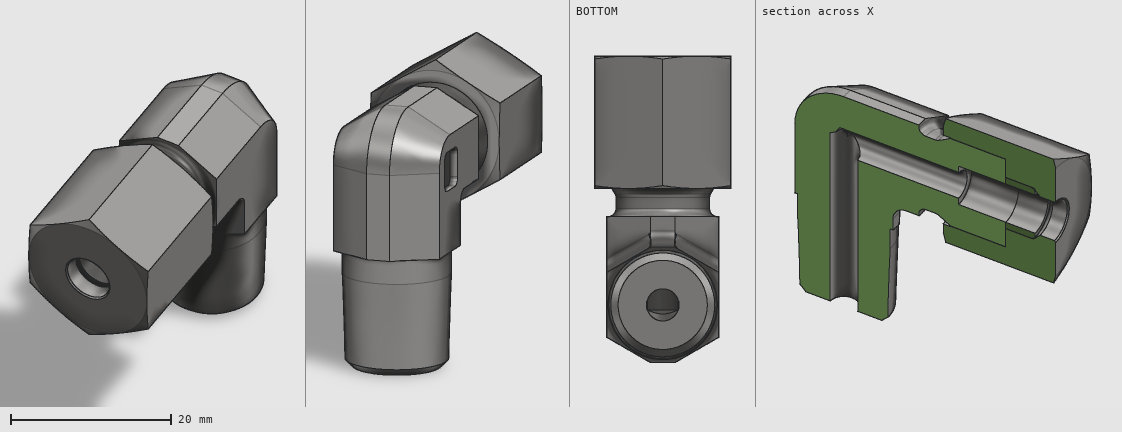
import cadquery as cq
import math

HEX_HALF_ANGLE = math.radians(30)


overall_length = 38.22

block_flats = 14.0
block_height = 14.4
arm_length = 11.0
inner_bend_radius = 2.0

spigot_diameter = 14.0
neck_diameter = 11.7
neck_fillet = 1.0
neck_flare_start = 13.38
flare_fillet = 0.95
flare_angle = 30.0
spigot_end = 23.7
tube_diameter = 6.0
tube_socket_depth = 6.88

stud_diameter = 13.65
stud_straight_end = 14.05
stud_end = 26.0
stud_taper = 1 / 16
stud_chamfer = 0.9

bore_diameter = 4.0
bore_overrun = 0.6
drill_tip_angle = 118.0

pocket_size = 5.0
pocket_center = -0.5
pocket_corner_radius = 1.0
pocket_depth = 1.0

nut_flats = 17.0
nut_start = 14.52
nut_end = overall_length - block_height / 2
nut_chamfer_angle = 15.0
tube_chamfer = 0.2
nut_wall = 2.3

ferrule_diameter = 8.0
ferrule_nose_radius = 0.5
ferrule_inset = 3.02
ferrule_end = nut_end - ferrule_inset


def turn_to_y_arm(body):
    """Turn a body built along -Z so that it points along -Y."""
    return body.rotate((0, 0, 0), (1, 0, 0), -90)


def revolve_down(points):
    """Revolve an outline of (radius, distance along -Z) points about Z."""
    return (
        cq.Workplane("XZ")
        .polyline([(radius, -distance) for radius, distance in points])
        .close()
        .revolve(360, (0, 0, 0), (0, 1, 0))
    )


def cylinder_down(diameter, start, end):
    return cq.Workplane("XY").workplane(offset=-end).circle(diameter / 2).extrude(end - start)


def block_outline():
    """Corners of the cut hexagon: the right side from bottom to top, the left from top to bottom."""
    half_width = block_flats / 2
    half_height = block_height / 2
    side_height = half_width * math.tan(HEX_HALF_ANGLE)
    cut_width = (2 * side_height - half_height) / math.tan(HEX_HALF_ANGLE)
    right = [
        (cut_width, -half_height),
        (half_width, -side_height),
        (half_width, side_height),
        (cut_width, half_height),
    ]
    left = [(-x, y) for x, y in reversed(right)]
    return right, left


def on_inner_bend(edge):
    """True for the inside corner edges, which lie where Y equals Z."""
    middle = edge.Center()
    return math.isclose(middle.y, middle.z, abs_tol=0.005) and middle.y < -block_flats / 4


def elbow_block():
    """Two arms joined by a quarter-turn outer bend, with the inside corner rounded."""
    right, left = block_outline()
    arm = cq.Workplane("XY").polyline(right + left).close().extrude(-arm_length)
    upper_half = [(x, y) for x, y in right + left if y > 0]
    outline = [(block_flats / 2, 0), *upper_half, (-block_flats / 2, 0)]
    outer_bend = cq.Workplane("XY").polyline(outline).close().revolve(90, (0, 0, 0), (1, 0, 0))
    block = arm.union(turn_to_y_arm(arm)).union(outer_bend).clean()
    inner_edges = [edge for edge in block.edges().vals() if on_inner_bend(edge)]
    return block.newObject(inner_edges).fillet(inner_bend_radius)


def neck_and_spigot():
    """Neck with a fillet at the block and a flare up to the full spigot diameter."""
    neck = neck_diameter / 2
    spigot = spigot_diameter / 2
    flare = math.radians(flare_angle)
    blend_radius = neck + flare_fillet * (1 - math.cos(flare))
    blend_end = neck_flare_start + flare_fillet * math.sin(flare)
    blend_mid_radius = neck + flare_fillet * (1 - math.cos(flare / 2))
    blend_mid = neck_flare_start + flare_fillet * math.sin(flare / 2)
    flare_end = blend_end + (spigot - blend_radius) / math.tan(flare)
    fillet_step = neck_fillet * (1 - math.sqrt(0.5))
    outline = (
        cq.Workplane("XZ")
        .moveTo(0, -arm_length)
        .lineTo(neck + neck_fillet, -arm_length)
        .threePointArc(
            (neck + fillet_step, -arm_length - fillet_step),
            (neck, -arm_length - neck_fillet),
        )
        .lineTo(neck, -neck_flare_start)
        .threePointArc((blend_mid_radius, -blend_mid), (blend_radius, -blend_end))
        .lineTo(spigot, -flare_end)
        .lineTo(spigot, -spigot_end)
        .lineTo(0, -spigot_end)
        .close()
    )
    return turn_to_y_arm(outline.revolve(360, (0, 0, 0), (0, 1, 0)))


def tapered_stud():
    straight_radius = stud_diameter / 2
    chamfer_start = stud_end - stud_chamfer
    tapered_radius = straight_radius - (chamfer_start - stud_straight_end) * stud_taper / 2
    return revolve_down([
        (0, arm_length),
        (straight_radius, arm_length),
        (straight_radius, stud_straight_end),
        (tapered_radius, chamfer_start),
        (tapered_radius - stud_chamfer, stud_end),
        (0, stud_end),
    ])


def drilled_bore(end):
    radius = bore_diameter / 2
    tip_length = radius / math.tan(math.radians(drill_tip_angle / 2))
    return revolve_down([
        (0, end),
        (radius, end),
        (radius, -bore_overrun),
        (0, -bore_overrun - tip_length),
    ])


def side_pocket():
    return (
        cq.Workplane("YZ", origin=(-block_flats / 2, pocket_center, pocket_center))
        .rect(pocket_size, pocket_size)
        .extrude(pocket_depth)
        .edges("|X")
        .fillet(pocket_corner_radius)
    )


def make_elbow():
    solid = elbow_block().union(neck_and_spigot()).union(tapered_stud())
    solid = solid.cut(drilled_bore(stud_end)).cut(turn_to_y_arm(drilled_bore(spigot_end)))
    tube_socket = cylinder_down(tube_diameter, spigot_end - tube_socket_depth, spigot_end)
    return solid.cut(turn_to_y_arm(tube_socket)).cut(side_pocket())


def make_nut():
    """Hexagonal nut with a socket for the spigot, a 45 degree ferrule seat and a tube hole."""
    flat_radius = nut_flats / 2
    corner_radius = flat_radius / math.cos(HEX_HALF_ANGLE)
    corner_chamfer = (corner_radius - flat_radius) * math.tan(math.radians(nut_chamfer_angle))
    hexagon = (
        cq.Workplane("XY")
        .workplane(offset=-nut_end)
        .polygon(6, 2 * corner_radius)
        .extrude(nut_end - nut_start)
        .rotate((0, 0, 0), (0, 0, 1), math.degrees(HEX_HALF_ANGLE))
    )
    chamfer_envelope = revolve_down([
        (0, nut_start),
        (flat_radius, nut_start),
        (corner_radius, nut_start + corner_chamfer),
        (corner_radius, nut_end - corner_chamfer),
        (flat_radius, nut_end),
        (0, nut_end),
    ])
    tube_radius = tube_diameter / 2
    seat_radius = ferrule_diameter / 2
    wall_start = nut_end - nut_wall
    tube_hole_and_seat = revolve_down([
        (0, spigot_end),
        (seat_radius, spigot_end),
        (seat_radius, wall_start - (seat_radius - tube_radius)),
        (tube_radius, wall_start),
        (tube_radius, nut_end - tube_chamfer),
        (tube_radius + tube_chamfer, nut_end),
        (0, nut_end),
    ])
    socket = cylinder_down(spigot_diameter, nut_start, spigot_end)
    nut = hexagon.intersect(chamfer_envelope).cut(socket).cut(tube_hole_and_seat)
    return turn_to_y_arm(nut)


def make_ferrule():
    """Ring around the tube, with a rounded outer edge facing the cone of the nut."""
    ring = cylinder_down(ferrule_diameter, spigot_end, ferrule_end)
    ring = ring.faces("<Z").edges().fillet(ferrule_nose_radius)
    return turn_to_y_arm(ring.cut(cylinder_down(tube_diameter, spigot_end, ferrule_end)))


elbow = make_elbow()
nut = make_nut()
ferrule = make_ferrule()

result = cq.Compound.makeCompound([elbow.solids().val(), nut.solids().val(), ferrule.solids().val()])